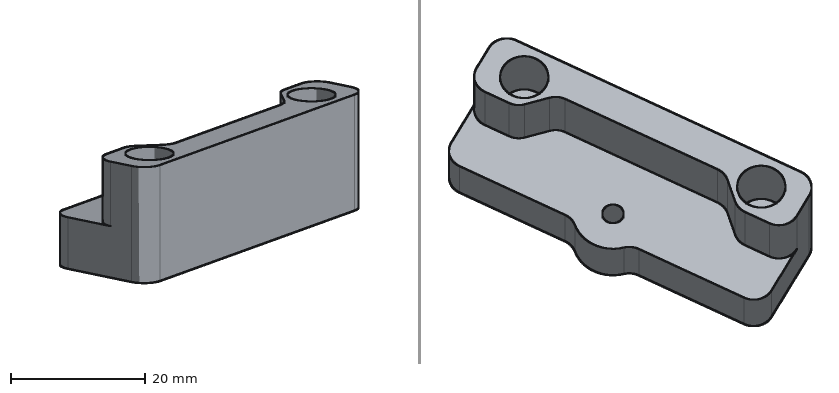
import cadquery as cq

length = 54.0
base_width = 18.0
base_height = 8.0
total_height = 18.0
corner_radius = 3.0

wall_end_width = 10.0
wall_middle_width = 5.45
middle_half_length = 14.1
slope_run = wall_end_width - wall_middle_width

ear_radius = 6.0
total_width = 20.45
ear_x = ear_radius - total_width

hole_diameter = 3.2
counterbore_diameter = 7.2
counterbore_depth = total_height - base_height
screw_x = -5.0
screw_half_spacing = 20.0


def make_base():
    """Plate with the ear, all upright corners rounded."""
    plate = cq.Workplane("XY").box(base_width, length, base_height, centered=(False, True, False))
    plate = plate.translate((-base_width, 0, 0))
    ear = cq.Workplane("XY").center(ear_x, 0).circle(ear_radius).extrude(base_height)
    return plate.union(ear).edges("|Z").fillet(corner_radius)


def make_wall():
    """Full-height wall with a recessed middle, all upright corners rounded."""
    half_length = length / 2
    slope_end = middle_half_length + slope_run
    outline = [
        (0, -half_length),
        (0, half_length),
        (-wall_end_width, half_length),
        (-wall_end_width, slope_end),
        (-wall_middle_width, middle_half_length),
        (-wall_middle_width, -middle_half_length),
        (-wall_end_width, -slope_end),
        (-wall_end_width, -half_length),
    ]
    wall = cq.Workplane("XY").polyline(outline).close().extrude(total_height)
    return wall.edges("|Z").fillet(corner_radius)


body = make_base().union(make_wall())

screw_places = [(screw_x, side * screw_half_spacing) for side in (-1, 1)]
body = (
    body.faces(">Z")
    .workplane(origin=(0, 0, total_height))
    .pushPoints(screw_places)
    .cboreHole(hole_diameter, counterbore_diameter, counterbore_depth)
)

ear_hole = cq.Workplane("XY").center(ear_x, 0).circle(hole_diameter / 2).extrude(base_height)
result = body.cut(ear_hole)